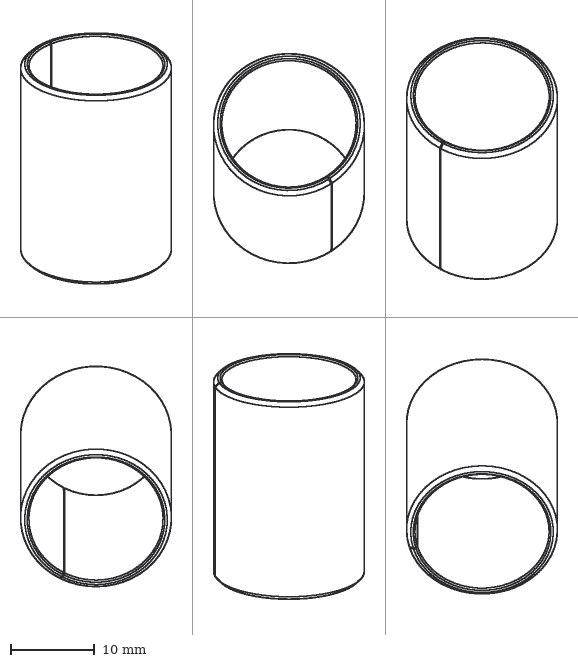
import cadquery as cq

length = 25.0
outer_diameter = 18.0
wall = 1.0
outer_chamfer = 0.5
inner_chamfer = 0.2
slit_angle = 1.0

outer_radius = outer_diameter / 2
inner_radius = outer_radius - wall

wall_section = [
    (-inner_radius, inner_chamfer),
    (-inner_radius - inner_chamfer, 0),
    (-outer_radius + outer_chamfer, 0),
    (-outer_radius, outer_chamfer),
    (-outer_radius, length - outer_chamfer),
    (-outer_radius + outer_chamfer, length),
    (-inner_radius - inner_chamfer, length),
    (-inner_radius, length - inner_chamfer),
]

result = (
    cq.Workplane("XZ")
    .polyline(wall_section)
    .close()
    .revolve(360 - slit_angle, (0, 0), (0, 1))
)